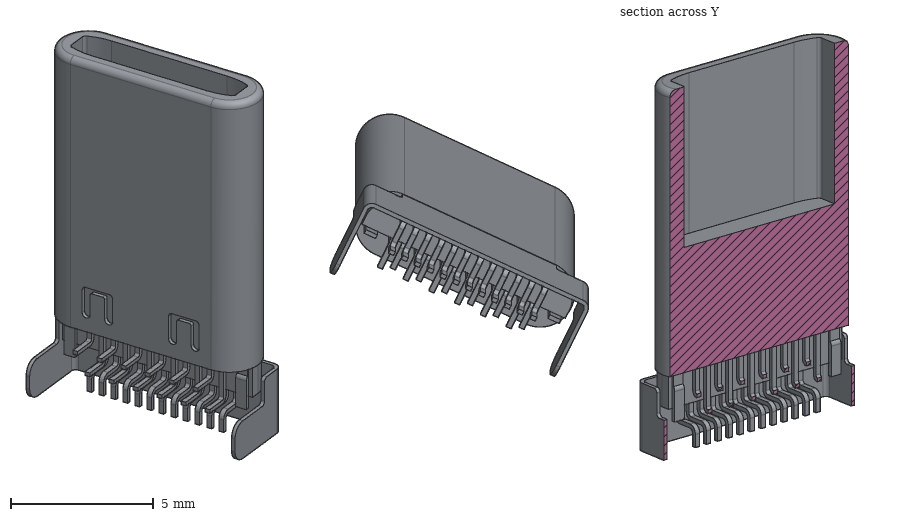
import cadquery as cq
import math


shell_width = 8.25
shell_depth = 2.4
shell_bottom = 3.05
shell_top = 13.75
rim_radius = 0.25
end_radius = shell_depth / 2
end_center_x = shell_width / 2 - end_radius

cavity_half_width = 3.42
cavity_half_depth = 0.65
cavity_corner_radius = 0.15
cavity_taper_start_x = 2.4
cavity_taper_radius = 2.7
cavity_length = 6.0

slot_center_x = 1.8
slot_width = 1.27
slot_leg_width = 0.33
slot_bottom = 3.6
slot_top = 4.81
slot_bridge_height = 0.18
slot_depth = 0.16
slot_outer_corner = 0.15
slot_inner_corner = 0.08

sheet = 0.15
bracket_width = 8.7
bracket_back = 1.185
bracket_top = 2.55
bracket_neck_width = 6.0
bracket_neck_radius = 0.15
bend_radius = 0.32
leg_front = -1.85
leg_top = 1.5
leg_step_y = 0.06
leg_tip_radius = 0.5
leg_step_radius = 0.15

body_width = 7.9
body_bottom = 1.75
body_front = -0.1
body_back = bracket_back - sheet
body_corner_radius = 0.77

tab_center_x = 3.57
tab_width = 0.44
tab_bottom = 1.28
tab_bend_start = 2.42
tab_bend_radius = 0.2
tab_offset = 0.08
tab_front = body_front - sheet

contact_count = 12
contact_pitch = 0.5
contact_width = 0.2
front_contact_tip = -1.15
front_contact_bottoms = (1.98, 1.27)
front_contact_bend = 0.09
hook_root_front = 0.7
hook_tip_front = body_front - sheet
hook_shelf_top = 0.9
hook_bottom = 0.1
hook_inner_bend = 0.12
hook_outer_bend = 0.3


def block(x_range, y_range, z_range):
    """Axis-aligned box between the given limits."""
    (x0, x1), (y0, y1), (z0, z1) = x_range, y_range, z_range
    return cq.Workplane("XY").box(x1 - x0, y1 - y0, z1 - z0, centered=False).translate((x0, y0, z0))


def centered_strip(profile, center_x, width):
    """Extrude a closed YZ profile to a strip centred on center_x."""
    return profile.extrude(width / 2, both=True).translate((center_x, 0, 0))


def make_shell():
    shell = (
        cq.Workplane("XY")
        .workplane(offset=shell_bottom)
        .slot2D(shell_width, shell_depth)
        .extrude(shell_top - shell_bottom)
        .faces(">Z")
        .edges()
        .fillet(rim_radius)
    )
    return shell.cut(make_cavity()).cut(make_latch_slot(-1)).cut(make_latch_slot(1))


def make_cavity():
    """Flat-ended pocket whose long walls curve gently inward before rounded corners."""
    taper_reach = cavity_half_width - cavity_taper_start_x
    taper_drop = cavity_taper_radius - math.sqrt(cavity_taper_radius**2 - taper_reach**2)
    x_flat, y_flat = cavity_taper_start_x, cavity_half_depth
    x_end, y_end = cavity_half_width, cavity_half_depth - taper_drop
    return (
        cq.Workplane("XY")
        .workplane(offset=shell_top - cavity_length)
        .moveTo(-x_flat, y_flat)
        .lineTo(x_flat, y_flat)
        .radiusArc((x_end, y_end), cavity_taper_radius)
        .lineTo(x_end, -y_end)
        .radiusArc((x_flat, -y_flat), cavity_taper_radius)
        .lineTo(-x_flat, -y_flat)
        .radiusArc((-x_end, -y_end), cavity_taper_radius)
        .lineTo(-x_end, y_end)
        .radiusArc((-x_flat, y_flat), cavity_taper_radius)
        .close()
        .extrude(cavity_length)
        .edges("|Z and (<X or >X)")
        .fillet(cavity_corner_radius)
    )


def make_latch_slot(side):
    shell_front = -shell_depth / 2
    y_range = (shell_front, shell_front + slot_depth)
    half_width = slot_width / 2
    tongue_half_width = half_width - slot_leg_width
    leg_radius = slot_leg_width / 2
    leg_end_z = slot_bottom + leg_radius
    frame = block((-half_width, half_width), y_range, (leg_end_z, slot_top))
    frame = frame.edges("|Y and >Z").fillet(slot_outer_corner)
    tongue = block(
        (-tongue_half_width, tongue_half_width), y_range, (leg_end_z, slot_top - slot_bridge_height)
    )
    slot = frame.cut(tongue.edges("|Y and >Z").fillet(slot_inner_corner))
    for end_x in (-half_width + leg_radius, half_width - leg_radius):
        round_end = (
            cq.Workplane("XZ", origin=(end_x, shell_front, leg_end_z)).circle(leg_radius).extrude(-slot_depth)
        )
        slot = slot.union(round_end)
    return slot.translate((side * slot_center_x, 0, 0))


def make_body():
    half_width = body_width / 2
    body = block((-half_width, half_width), (body_front, body_back), (body_bottom, shell_bottom))
    body = body.edges("|Z and >Y").fillet(body_corner_radius)
    for side in (-1, 1):
        body = body.union(make_tab(side * tab_center_x))
    return body


def make_tab(center_x):
    """Flat tab on the insulator's front face, its rounded shoulder stepping back to a thinner root."""
    root_front = tab_front + tab_offset
    bend_height = math.sqrt(tab_bend_radius**2 - (tab_bend_radius - tab_offset) ** 2)
    profile = (
        cq.Workplane("YZ")
        .moveTo(tab_front, tab_bottom)
        .lineTo(tab_front, tab_bend_start)
        .radiusArc((root_front, tab_bend_start + bend_height), tab_bend_radius)
        .lineTo(root_front, shell_bottom)
        .lineTo(body_front, shell_bottom)
        .lineTo(body_front, tab_bottom)
        .close()
    )
    return centered_strip(profile, center_x, tab_width)


def make_bracket():
    """U-shaped sheet bracket: a back plate with a neck up to the shell and two side legs."""
    half_width = bracket_width / 2
    outer = block((-half_width, half_width), (leg_front, bracket_back), (0, bracket_top))
    outer = outer.edges("|Z and >Y").fillet(bend_radius)
    inner = block(
        (-half_width + sheet, half_width - sheet), (leg_front, bracket_back - sheet), (0, bracket_top)
    )
    inner = inner.edges("|Z and >Y").fillet(bend_radius - sheet)
    return outer.cut(inner).intersect(make_leg_outline()).union(make_neck())


def make_leg_outline():
    """Side outline of the legs, as a bar across the whole bracket width."""
    x_range = (-bracket_width / 2, bracket_width / 2)
    upper = block(x_range, (leg_step_y, bracket_back), (0, bracket_top))
    lower = block(x_range, (leg_front, bracket_back), (0, leg_top))
    outline = upper.edges("|X and >Z and <Y").fillet(leg_step_radius)
    outline = outline.union(lower.edges("|X and <Y").fillet(leg_tip_radius))
    inside_corner = cq.selectors.NearestToPointSelector((0, leg_step_y, leg_top))
    return outline.edges("|X").edges(inside_corner).fillet(leg_step_radius)


def make_neck():
    """Middle of the back plate, flaring out with fillets onto the bracket's top edge."""
    half_width = bracket_neck_width / 2
    flare_half_width = half_width + bracket_neck_radius
    flare_top = bracket_top + bracket_neck_radius
    return (
        cq.Workplane("XZ", origin=(0, bracket_back, 0))
        .moveTo(-flare_half_width, bracket_top)
        .radiusArc((-half_width, flare_top), -bracket_neck_radius)
        .lineTo(-half_width, shell_bottom)
        .lineTo(half_width, shell_bottom)
        .lineTo(half_width, flare_top)
        .radiusArc((flare_half_width, bracket_top), -bracket_neck_radius)
        .close()
        .extrude(sheet)
    )


def make_front_contact(center_x, bottom):
    """Contact running down the insulator's front face and bending straight forward."""
    front = body_front - sheet
    bar_top = bottom + sheet
    profile = (
        cq.Workplane("YZ")
        .moveTo(body_front, shell_bottom)
        .lineTo(front, shell_bottom)
        .lineTo(front, bar_top + front_contact_bend)
        .radiusArc((front - front_contact_bend, bar_top), front_contact_bend)
        .lineTo(front_contact_tip, bar_top)
        .lineTo(front_contact_tip, bottom)
        .lineTo(front - front_contact_bend, bottom)
        .radiusArc((body_front, bar_top + front_contact_bend), -(front_contact_bend + sheet))
        .close()
    )
    return centered_strip(profile, center_x, contact_width)


def make_hook_contact(center_x):
    """Contact leaving the insulator downward, stepping forward and turning down again."""
    root_back = hook_root_front + sheet
    tip_back = hook_tip_front + sheet
    shelf_bottom = hook_shelf_top - sheet
    bend_top = hook_shelf_top + hook_inner_bend
    tip_bend_z = hook_shelf_top - hook_outer_bend
    root_bend_y = hook_root_front - hook_inner_bend
    tip_bend_y = hook_tip_front + hook_outer_bend
    profile = (
        cq.Workplane("YZ")
        .moveTo(root_back, body_bottom)
        .lineTo(hook_root_front, body_bottom)
        .lineTo(hook_root_front, bend_top)
        .radiusArc((root_bend_y, hook_shelf_top), hook_inner_bend)
        .lineTo(tip_bend_y, hook_shelf_top)
        .radiusArc((hook_tip_front, tip_bend_z), -hook_outer_bend)
        .lineTo(hook_tip_front, hook_bottom)
        .lineTo(tip_back, hook_bottom)
        .lineTo(tip_back, tip_bend_z)
        .radiusArc((tip_bend_y, shelf_bottom), hook_outer_bend - sheet)
        .lineTo(root_bend_y, shelf_bottom)
        .radiusArc((root_back, bend_top), -(hook_inner_bend + sheet))
        .close()
    )
    return centered_strip(profile, center_x, contact_width)


result = make_shell().union(make_body()).union(make_bracket())
for index in range(contact_count):
    contact_x = (index - (contact_count - 1) / 2) * contact_pitch
    contact_bottom = front_contact_bottoms[index % len(front_contact_bottoms)]
    result = result.union(make_front_contact(contact_x, contact_bottom))
    result = result.union(make_hook_contact(contact_x))